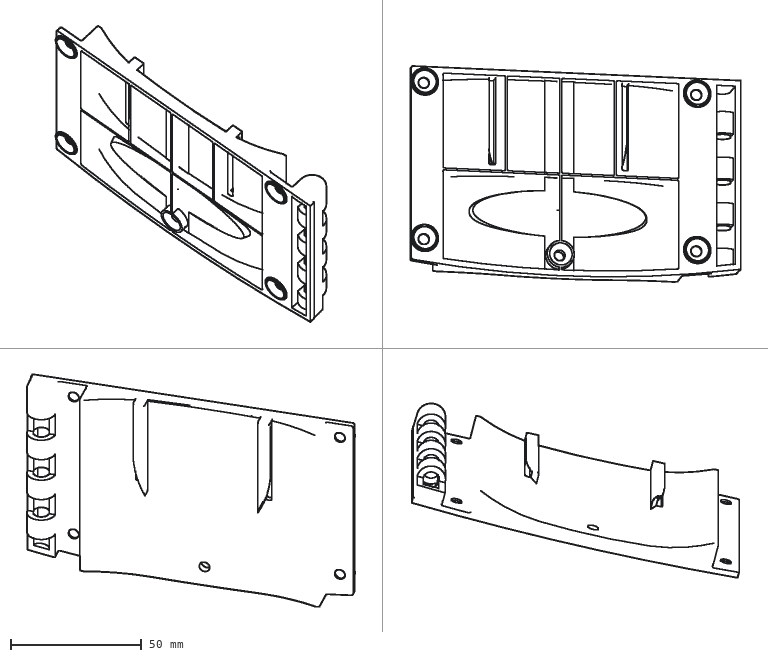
import cadquery as cq
import math


left_x = -58.3
right_x = 70.2
height = 80.2
plate_thickness = 2.3
bottom_radius = 433.0
left_corner_radius = 0.9
rim = 2.3

block_half_width = 47.8
block_height = 12.2
block_base_fillet = 0.6
crest_fillet = 0.5
rim_fillet = 0.4
crest_width = 1.8
dish_centre_y = 5.4
dish_side_points = [(13.6, 5.7), (27.2, 6.5), (36.9, 8.7)]
block_wall = 1.9
floor_thickness = 2.0

cell_left = block_half_width - block_wall
web = 0.8
side_web_x = 21.2
cross_web_z = 40.1
flat_half_width = 5.7
flat_y = 3.3
cell_floor_fillet = 0.5

island_z = 25.2
island_half_length = 33.7
island_half_height = 9.1
island_taper = 20

hook_inner_x = 22.5
hook_outer_x = 27.2
hook_top_y = 10.0
hook_lip = 1.7
hook_fillet = 0.4
hook_edge_radius = 37.3
hook_curve_start_z = 57.5
slot_inner_x = 24.7
slot_outer_x = 27.1
slot_bottom_z = 43.7
slot_corner_radius = 0.8

screw_x = 53.0
screw_upper_z = 74.1
screw_lower_z = 12.5
centre_screw_z = 8.6
boss_diameter = 10.5
boss_height = 0.8
boss_chamfer = 0.3
screw_hole = 4.1
countersink_diameter = 8.7

barrel_x = 64.4
barrel_y = 7.7
barrel_radius = 5.5
pocket_half_width = 3.6
bore_radius = 3.1
knuckle_pitch = 18.0
knuckle_gap = 9.3
first_gap_top = 68.6
gap_count = 4
knuckle_clearance = 0.4

tall = 2 * height
margin = 0.1


def bottom_z(x, inset=0.0):
    """Height of the bottom edge, or of the arc a given distance inside it."""
    return bottom_radius - math.sqrt((bottom_radius - inset) ** 2 - x**2)


def arc_bottom_prism(x_min, x_max, z_top, inset, y_min, y_max, taper=0):
    """Prism along Y with straight sides and top, closed below by the bottom arc."""
    x_mid = (x_min + x_max) / 2
    return (
        cq.Workplane("XZ", origin=(0, y_min, 0))
        .moveTo(x_min, z_top)
        .lineTo(x_min, bottom_z(x_min, inset))
        .threePointArc((x_mid, bottom_z(x_mid, inset)), (x_max, bottom_z(x_max, inset)))
        .lineTo(x_max, z_top)
        .close()
        .extrude(y_min - y_max, taper=taper)
    )


def box(x_min, x_max, y_min, y_max, z_min, z_max):
    """Box between the given limits on each axis."""
    size = (x_max - x_min, y_max - y_min, z_max - z_min)
    return cq.Workplane().box(*size, centered=False).translate((x_min, y_min, z_min))


def cylinder_y(x, z, diameter, y_min, y_max):
    """Cylinder along Y between two Y positions."""
    return cq.Workplane("XZ", origin=(x, y_min, z)).circle(diameter / 2).extrude(y_min - y_max)


def below_dish(outer_x, crest_x, crest_y, drop):
    """Tall solid under the dish curve, with the curve lowered by a given distance."""
    right_side = dish_side_points + [(crest_x, crest_y)]
    left_side = [(-x, y) for x, y in reversed(dish_side_points)]
    curve = [(x, y - drop) for x, y in left_side + [(0, dish_centre_y)] + right_side]
    return (
        cq.Workplane()
        .moveTo(-outer_x, 0)
        .lineTo(-outer_x, crest_y - drop)
        .lineTo(-crest_x, crest_y - drop)
        .spline(curve, includeCurrent=True)
        .lineTo(outer_x, crest_y - drop)
        .lineTo(outer_x, 0)
        .close()
        .extrude(tall)
    )


def make_body():
    """Plate, dished block and solid hinge barrel, trimmed to the plate outline."""
    crest_x = block_half_width - crest_width
    plate = box(left_x, right_x, 0, plate_thickness, 0, tall)
    block = below_dish(block_half_width, crest_x, block_height, 0)
    barrel = (
        cq.Workplane()
        .moveTo(barrel_x - barrel_radius, 0)
        .lineTo(barrel_x - barrel_radius, barrel_y)
        .threePointArc((barrel_x, barrel_y + barrel_radius), (barrel_x + barrel_radius, barrel_y))
        .lineTo(right_x, 0)
        .close()
        .extrude(tall)
    )
    body = plate.union(block).union(barrel)
    outline = arc_bottom_prism(left_x, right_x, height, 0, 0, height)
    outline = outline.edges("|Y and <X").fillet(left_corner_radius)
    body = body.intersect(outline)
    crests = cq.selectors.BoxSelector(
        (-block_half_width - margin, block_height - margin, 0),
        (block_half_width + margin, block_height + margin, height),
    )
    return body.edges("|Z").edges(crests).fillet(crest_fillet)


def round_ends(body):
    """Round the top and bottom rims of the block and barrel behind the plate."""
    behind_y = plate_thickness + rim_fillet
    end_zone = bottom_z(right_x) + margin
    bottom_rim = cq.selectors.BoxSelector((left_x, behind_y, 0), (right_x, height, end_zone))
    top_rim = cq.selectors.BoxSelector(
        (left_x, behind_y, height - end_zone), (right_x, height, height + end_zone)
    )
    return body.edges(bottom_rim + top_rim).fillet(rim_fillet)


def fillet_roots(body):
    """Fillet the corners where the block and barrel rise from the back of the plate."""
    for x in (-block_half_width, block_half_width, barrel_x - barrel_radius):
        root = (x, plate_thickness, height / 2)
        body = body.edges("|Z").edges(cq.selectors.NearestToPointSelector(root)).fillet(block_base_fillet)
    return body


def make_hook():
    """Left hook; its outer edge curves inward at the bottom to meet the inner edge."""
    reach = hook_outer_x - hook_inner_x
    end_z = hook_curve_start_z - math.sqrt(hook_edge_radius**2 - (hook_edge_radius - reach) ** 2)
    return (
        cq.Workplane("XZ", origin=(0, dish_centre_y, 0))
        .moveTo(-hook_inner_x, height)
        .lineTo(-hook_outer_x, height)
        .lineTo(-hook_outer_x, hook_curve_start_z)
        .tangentArcPoint((-hook_inner_x, end_z), relative=False)
        .close()
        .extrude(dish_centre_y - hook_top_y)
        .faces(">Y")
        .edges()
        .fillet(hook_fillet)
    )


def make_slot():
    """Left relief slot, from the cell up to the underside of the hook lip."""
    slot = box(-slot_outer_x, -slot_inner_x, flat_y, hook_top_y - hook_lip, slot_bottom_z, height - rim)
    return slot.edges("|Y").edges("<Z").fillet(slot_corner_radius)


def make_cells():
    """All front cells on the left half, with their floors following the dish."""
    crest_x = block_half_width - crest_width
    space = below_dish(block_half_width, crest_x, block_height, floor_thickness)
    above_flat = box(-flat_half_width, flat_half_width, flat_y, height, 0, tall)
    half_web = web / 2
    top = height - rim
    upper_bottom = cross_web_z + half_web
    outer = box(-cell_left, -side_web_x - half_web, 0, block_height, upper_bottom, top)
    inner = box(-side_web_x + half_web, -half_web, 0, block_height, upper_bottom, top)
    lower = arc_bottom_prism(-cell_left, -half_web, cross_web_z - half_web, rim, 0, block_height)
    cells = []
    for outline in (outer, inner, lower):
        cell = outline.intersect(space)
        cells.append(cell.edges("not(<Y)").fillet(cell_floor_fillet).cut(above_flat))
    island = (
        cq.Workplane("XZ", origin=(0, flat_y, island_z))
        .ellipse(island_half_length, island_half_height)
        .extrude(flat_y - block_height, taper=-island_taper)
    )
    cells[-1] = cells[-1].cut(island)
    return cells


def make_screw_cut(x, z, y_front):
    """Through hole with a 90 degree countersink."""
    depth = (countersink_diameter - screw_hole) / 2
    cone = (
        cq.Workplane("XZ", origin=(x, y_front, z))
        .circle(countersink_diameter / 2)
        .workplane(offset=-depth)
        .circle(screw_hole / 2)
        .loft()
    )
    return cone.union(cylinder_y(x, z, screw_hole, y_front, block_height))


def cut_hinge(body):
    """Bore the barrel and leave half-round knuckles on alternating sides of the axis."""
    inner_left = barrel_x - pocket_half_width
    inner_right = barrel_x + pocket_half_width
    draft = math.degrees(math.atan((pocket_half_width - bore_radius) / barrel_y))
    bore = cq.Workplane().center(barrel_x, barrel_y).circle(bore_radius).extrude(tall)
    hollow = box(inner_left, inner_right, 0, barrel_y, 0, tall).union(bore)
    pocket = arc_bottom_prism(inner_left, inner_right, height - rim, rim, 0, barrel_y + barrel_radius, draft)
    body = body.cut(hollow.intersect(pocket))
    sleeve = cq.Workplane().center(barrel_x, barrel_y).circle(barrel_radius).extrude(tall).cut(bore)
    sleeve = sleeve.intersect(arc_bottom_prism(left_x, right_x, height, 0, 0, height))
    for index in range(gap_count):
        gap_top = first_gap_top - index * knuckle_pitch
        gap_bottom = gap_top - knuckle_gap
        if index == gap_count - 1:
            gap_bottom = 0
        gap = box(barrel_x - barrel_radius, right_x, barrel_y, height, gap_bottom, gap_top)
        body = body.cut(gap)
        knuckle_zone = box(
            inner_left, inner_right, 0, barrel_y,
            gap_bottom + knuckle_clearance, gap_top - knuckle_clearance,
        )
        body = body.union(sleeve.intersect(knuckle_zone))
    return body


def add_screw_bosses(body):
    """Centre boss flush with the front face and four raised corner bosses, all countersunk."""
    body = body.union(cylinder_y(0, centre_screw_z, boss_diameter, 0, dish_centre_y))
    body = body.cut(make_screw_cut(0, centre_screw_z, 0))
    for x in (-screw_x, screw_x):
        for z in (screw_lower_z, screw_upper_z):
            boss = cylinder_y(x, z, boss_diameter, -boss_height, plate_thickness)
            body = body.union(boss.faces("<Y").edges().chamfer(boss_chamfer))
            body = body.cut(make_screw_cut(x, z, -boss_height))
    return body


body = fillet_roots(round_ends(make_body()))
hook = make_hook()
body = body.union(hook).union(hook.mirror("YZ"))
for pocket in make_cells() + [make_slot()]:
    body = body.cut(pocket).cut(pocket.mirror("YZ"))
body = cut_hinge(body)
result = add_screw_bosses(body)